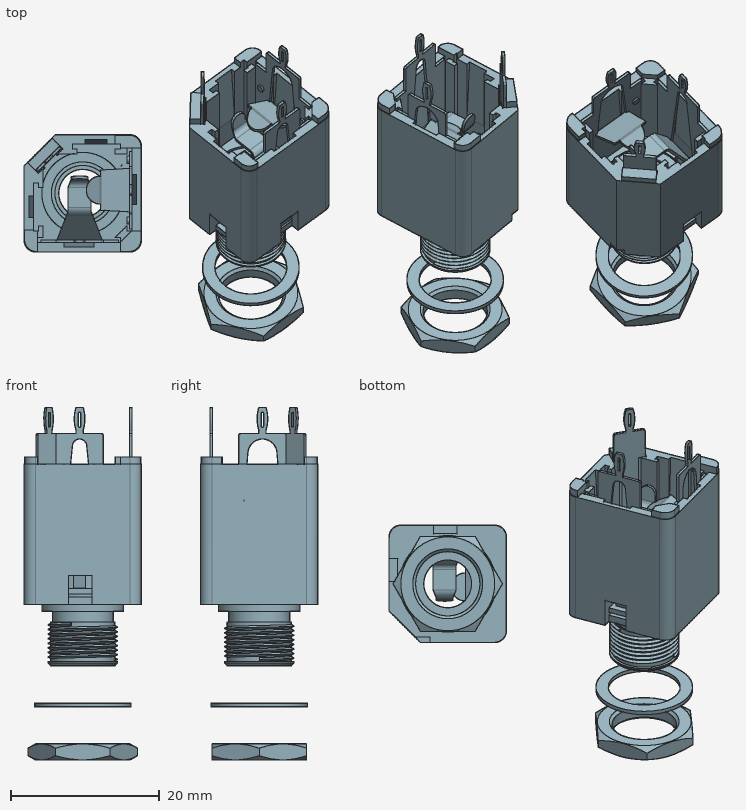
import cadquery as cq
import math

NUT_HEIGHT = 2.25
WASHER_BOTTOM = 7.15
WASHER_THICKNESS = 0.5
SLEEVE_BOTTOM = 12.7
NECK_BOTTOM = 18.6
COLLAR_BOTTOM = 20.05
HOUSING_BOTTOM = 20.95
SLEEVE_TOP = 25.95
FLOOR_TOP = 26.3
HOUSING_TOP = 39.85
POST_TOP = 40.85
PLATE_TOP = 44.0
PIN_TOP = 47.5

NUT_FLATS = 12.8
NUT_BEVEL_DIA = 12.65
NUT_BEVEL_ANGLE = 30
WASHER_OUTER_DIA = 13.0
WASHER_INNER_DIA = 9.7

BORE_DIA = 6.4
COUNTERBORE_DIA = 7.5
COUNTERBORE_DEPTH = 1.9
REBATE_DIA = 8.45
REBATE_DEPTH = 0.48
NECK_DIA = 8.2
COLLAR_DIA = 11.0
THREAD_ROOT_DIA = 8.65
THREAD_CREST_DIA = 9.4
THREAD_PITCH = 0.6
THREAD_BASE = 0.55
THREAD_SINK = 0.1
END_COLLAR = 0.6
END_CHAMFER = 0.45

HALF = 15.8 / 2
CORNER_RADIUS = 1.55
CORNER_CUT = 4.25
POST_INSET = 0.1
POST_INNER = 6.1
SW_POST_END = -4.95
NE_POST_START = 4.35
SE_POST_START = 5.1
SE_POST_CHAMFER = 1.45

SLOT_OUTER = 6.65
LIP_OUTER = 5.95
CAVITY_HALF = 5.3
LONG_SLOT = (-6.1, 5.1)
SHORT_SLOT = (-1.4, 5.1)
SHORT_SLOT_MOUTH = (-0.75, 4.35)
CAVITY_BEVEL = 1.55
CAVITY_CORNER_CUT = 2.15

CORNER_SLOT_OUTER = 6.7
CORNER_SLOT_DEPTH = 0.55
CORNER_SLOT_WIDTH = 4.65
CORNER_MOUTH_WIDTH = 2.35
CORNER_MOUTH_DEPTH = 1.42

LEAD_IN_DEPTH = 0.55
LEAD_IN_HEIGHT = 9.5
LONG_LEAD_IN = (-2.5, 1.5)
SHORT_LEAD_IN = (0.35, 3.3)

FRONT_NOTCH = (-1.9, 1.25)
FRONT_NOTCH_TOP = 24.85
SIDE_NOTCH = (-3.4, -0.3)
SIDE_NOTCH_TOP = 25.18
NOTCH_FLOOR = 6.75
NOTCH_LIP_TOP = 21.95
NOTCH_GROOVE_TOP = 22.35
NOTCH_BAR_TOP = 23.1
KEY_NOTCH_X = (-5.7, -2.38)
KEY_NOTCH_DEPTH = 0.75
KEY_NOTCH_HEIGHT = 1.0

SHEET = 0.4
PLATE_CENTER = -0.45
PLATE_WIDTH = 6.4
GUIDE_WIDTH = 10.45
PLATE_RADIUS = 0.3
CORNER_PLATE_WIDTH = 4.4
ARCH_TOP = 43.22
PIN_NECK = 1.0
PIN_BULGE = 1.45
PIN_BULGE_BOTTOM = 44.4
PIN_TIP_RADIUS = 0.2
PIN_EYE_WIDTH = 0.3
PIN_EYE = (44.85, 46.85)
FOOT_TAB_WIDTH = 1.6
FOOT_TAB_END = (0.85, 23.28)
DIMPLE_DIA = 1.0
DIMPLE_HEIGHT = 0.3
DIMPLE_Z = 35.85
DIMPLE_OFFSET = 4.1

DIAGONAL = cq.Vector(1, 1, 0)


def box(x_range, y_range, z_range):
    """Box between two limits on each axis."""
    size = [high - low for low, high in (x_range, y_range, z_range)]
    return cq.Workplane("XY").box(*size, centered=False).translate(
        (x_range[0], y_range[0], z_range[0])
    )


def across_diagonal(shape):
    return shape.mirror(DIAGONAL)


def with_mirror(shape):
    return shape.union(across_diagonal(shape))


def to_corner(shape):
    """Turn a shape made at the +Y wall to face the -X +Y corner."""
    return shape.rotate((0, 0, 0), (0, 0, 1), 45)


def cylinder(diameter, bottom, top):
    return cq.Workplane("XY").workplane(offset=bottom).circle(diameter / 2).extrude(top - bottom)


def make_nut():
    corner_radius = NUT_FLATS / 2 / math.cos(math.pi / 6)
    bevel_radius = NUT_BEVEL_DIA / 2
    drop = (corner_radius - bevel_radius) * math.tan(math.radians(NUT_BEVEL_ANGLE))
    blank = cq.Workplane("XY").polygon(6, 2 * corner_radius).extrude(NUT_HEIGHT)
    envelope = (
        cq.Workplane("XZ")
        .polyline([
            (0, 0),
            (bevel_radius, 0),
            (corner_radius, drop),
            (corner_radius, NUT_HEIGHT - drop),
            (bevel_radius, NUT_HEIGHT),
            (0, NUT_HEIGHT),
        ])
        .close()
        .revolve(360, (0, 0), (0, 1))
    )
    nut = blank.intersect(envelope).faces(">Z").workplane().hole(THREAD_ROOT_DIA)
    mouth_chamfer = (THREAD_CREST_DIA - THREAD_ROOT_DIA) / 2
    return nut.edges(cq.selectors.RadiusNthSelector(0)).chamfer(mouth_chamfer)


def make_washer():
    outer = cylinder(WASHER_OUTER_DIA, WASHER_BOTTOM, WASHER_BOTTOM + WASHER_THICKNESS)
    return outer.faces(">Z").workplane().hole(WASHER_INNER_DIA)


def thread_ridge():
    """Helical V ridge, rooted inside the core, from the end collar to the neck."""
    foot = THREAD_ROOT_DIA / 2 - THREAD_SINK
    start = SLEEVE_BOTTOM + END_COLLAR + THREAD_BASE / 2
    length = NECK_BOTTOM - THREAD_BASE / 2 - start
    path = cq.Wire.makeHelix(THREAD_PITCH, length, foot, center=cq.Vector(0, 0, start))
    return (
        cq.Workplane("XZ")
        .polyline([
            (foot, start - THREAD_BASE / 2),
            (THREAD_CREST_DIA / 2, start),
            (foot, start + THREAD_BASE / 2),
        ])
        .close()
        .sweep(cq.Workplane(path), isFrenet=True)
    )


def make_sleeve():
    core = cylinder(THREAD_ROOT_DIA, SLEEVE_BOTTOM, NECK_BOTTOM)
    end_collar = cylinder(THREAD_CREST_DIA, SLEEVE_BOTTOM, SLEEVE_BOTTOM + END_COLLAR)
    end_collar = end_collar.faces("<Z").chamfer(END_CHAMFER)
    neck = cylinder(NECK_DIA, NECK_BOTTOM, COLLAR_BOTTOM)
    collar = cylinder(COLLAR_DIA, COLLAR_BOTTOM, SLEEVE_TOP)
    blank = core.union(thread_ridge()).union(end_collar).union(neck).union(collar)
    return (
        blank.cut(cylinder(BORE_DIA, SLEEVE_BOTTOM, SLEEVE_TOP))
        .cut(cylinder(COUNTERBORE_DIA, SLEEVE_TOP - COUNTERBORE_DEPTH, SLEEVE_TOP))
        .cut(cylinder(REBATE_DIA, SLEEVE_TOP - REBATE_DEPTH, SLEEVE_TOP))
    )


def body_block(inset, bottom, top):
    """Square block with one large corner cut and three rounded corners."""
    half = HALF - inset
    block = box((-half, half), (-half, half), (bottom, top))
    block = block.edges("|Z").edges("<X and >Y").chamfer(CORNER_CUT - inset)
    rounded = block.edges("|Z").edges("(<X and <Y) or (>X and <Y) or (>X and >Y)")
    return rounded.fillet(CORNER_RADIUS - inset)


def raised_posts():
    """Posts on the three rounded corners and a bar along the corner cut."""
    height = (HOUSING_TOP, POST_TOP)
    southwest = box((-HALF, -POST_INNER), (-HALF, SW_POST_END), height)
    northeast = box((NE_POST_START, HALF), (POST_INNER, HALF), height)
    southeast = box((SE_POST_START, HALF), (-HALF, -SE_POST_START), height)
    southeast = southeast.edges("|Z and <X and >Y").chamfer(SE_POST_CHAMFER)
    half_bar = CORNER_SLOT_WIDTH / 2
    bar = to_corner(box((-half_bar, half_bar), (CORNER_SLOT_OUTER, HALF * 2), height))
    footprints = southwest.union(northeast).union(southeast).union(bar)
    return body_block(POST_INSET, HOUSING_TOP, POST_TOP).intersect(footprints)


def cavity():
    """Room for the contacts, with a slot along each wall and the corner cut."""
    height = (FLOOR_TOP, POST_TOP)
    room = box((-CAVITY_HALF, LIP_OUTER), (-LIP_OUTER, CAVITY_HALF), height)
    room = room.edges("|Z and >X and <Y").chamfer(CAVITY_BEVEL)
    room = room.edges("|Z and <X and >Y").chamfer(CAVITY_CORNER_CUT)
    slots = (
        box(LONG_SLOT, (-SLOT_OUTER, -LIP_OUTER), height)
        .union(box(SHORT_SLOT, (LIP_OUTER, SLOT_OUTER), height))
        .union(box(SHORT_SLOT_MOUTH, (CAVITY_HALF, LIP_OUTER), height))
    )
    half_slot = CORNER_SLOT_WIDTH / 2
    half_mouth = CORNER_MOUTH_WIDTH / 2
    slot_inner = CORNER_SLOT_OUTER - CORNER_SLOT_DEPTH
    corner_slot = box((-half_slot, half_slot), (slot_inner, CORNER_SLOT_OUTER), height).union(
        box((-half_mouth, half_mouth), (slot_inner - CORNER_MOUTH_DEPTH, slot_inner), height)
    )
    return room.union(with_mirror(slots)).union(to_corner(corner_slot))


def lead_in(x_range, side):
    """Ramp that widens the top of the slot in the +Y wall (side 1) or the -Y wall (side -1)."""
    return (
        cq.Workplane("YZ")
        .polyline([
            (side * SLOT_OUTER, HOUSING_TOP - LEAD_IN_HEIGHT),
            (side * SLOT_OUTER, HOUSING_TOP),
            (side * (SLOT_OUTER + LEAD_IN_DEPTH), HOUSING_TOP),
        ])
        .close()
        .extrude(x_range[1] - x_range[0])
        .translate((x_range[0], 0, 0))
    )


def foot_notches():
    front = box(FRONT_NOTCH, (-HALF, -NOTCH_FLOOR), (HOUSING_BOTTOM, FRONT_NOTCH_TOP))
    for bottom, top in ((NOTCH_LIP_TOP, NOTCH_GROOVE_TOP), (NOTCH_BAR_TOP, FRONT_NOTCH_TOP)):
        front = front.union(box(FRONT_NOTCH, (-NOTCH_FLOOR, 0), (bottom, top)))
    side = box((-HALF, -NOTCH_FLOOR), SIDE_NOTCH, (HOUSING_BOTTOM, SIDE_NOTCH_TOP)).union(
        box((-NOTCH_FLOOR, 0), SIDE_NOTCH, (NOTCH_LIP_TOP, SIDE_NOTCH_TOP))
    )
    key = box(
        KEY_NOTCH_X,
        (HALF - KEY_NOTCH_DEPTH, HALF),
        (HOUSING_BOTTOM, HOUSING_BOTTOM + KEY_NOTCH_HEIGHT),
    )
    return front.union(side).union(key)


def foot_tab_passage():
    """Opening in the floor for the foot tab of the -Y contact."""
    x_range = (PLATE_CENTER - FOOT_TAB_WIDTH / 2, PLATE_CENTER + FOOT_TAB_WIDTH / 2)
    y_range = (-SLOT_OUTER, -SLOT_OUTER + FOOT_TAB_END[0] + SHEET / 2)
    return box(x_range, y_range, (FRONT_NOTCH_TOP, FLOOR_TOP))


def make_housing():
    lead_ins = lead_in(LONG_LEAD_IN, -1).union(lead_in(SHORT_LEAD_IN, 1))
    return (
        body_block(0, HOUSING_BOTTOM, HOUSING_TOP)
        .union(raised_posts())
        .cut(cavity())
        .cut(cylinder(COLLAR_DIA, HOUSING_BOTTOM, FLOOR_TOP))
        .cut(with_mirror(lead_ins))
        .cut(foot_notches())
        .cut(foot_tab_passage())
    )


def sheet_rectangle(width, bottom, top):
    return box((-width / 2, width / 2), (0, SHEET), (bottom, top))


def solder_pin():
    """Narrow pin with a bulged, pierced eye."""
    neck = PIN_NECK / 2
    bulge = PIN_BULGE / 2
    bulge_middle = (PIN_BULGE_BOTTOM + PIN_TOP) / 2
    pin = (
        cq.Workplane("XZ")
        .moveTo(-neck, PLATE_TOP)
        .lineTo(neck, PLATE_TOP)
        .lineTo(neck, PIN_BULGE_BOTTOM)
        .threePointArc((bulge, bulge_middle), (neck, PIN_TOP))
        .lineTo(-neck, PIN_TOP)
        .threePointArc((-bulge, bulge_middle), (-neck, PIN_BULGE_BOTTOM))
        .close()
        .extrude(-SHEET)
    )
    eye = (
        cq.Workplane("XZ")
        .center(0, sum(PIN_EYE) / 2)
        .slot2D(PIN_EYE[1] - PIN_EYE[0], PIN_EYE_WIDTH, 90)
        .extrude(-SHEET)
    )
    return pin.edges("|Y and >Z").fillet(PIN_TIP_RADIUS).cut(eye)


def contact_plate(width):
    plate = sheet_rectangle(width, FLOOR_TOP, PLATE_TOP)
    return plate.edges("|Y and >Z").fillet(PLATE_RADIUS).union(solder_pin())


def arch(radius, hinge_z, foot_half):
    """Tapered opening with a round top, left where the tongue is bent out of the plate."""
    spring_line = ARCH_TOP - radius
    return (
        cq.Workplane("XZ")
        .moveTo(-foot_half, hinge_z)
        .lineTo(foot_half, hinge_z)
        .lineTo(radius, spring_line)
        .threePointArc((0, ARCH_TOP), (-radius, spring_line))
        .close()
        .extrude(-SHEET)
    )


def bent_tongue(profile, outline):
    """Sheet strip bent along a (Y, Z) centreline and trimmed to a plan outline."""
    strip = profile.offset2D(SHEET / 2).extrude(GUIDE_WIDTH / 2, both=True)
    return strip.intersect(outline.extrude(PIN_TOP))


def spring_contact(opening, tongue):
    plate = contact_plate(PLATE_WIDTH).union(sheet_rectangle(GUIDE_WIDTH, FLOOR_TOP, HOUSING_TOP))
    contact = plate.cut(opening).union(tongue)
    return contact.translate((PLATE_CENTER, -SLOT_OUTER, 0))


def foot_tab():
    """Tab that starts inside the plate and leans inward below it."""
    middle = SHEET / 2
    profile = cq.Workplane("YZ").polyline([
        (middle, FLOOR_TOP + 2 * SHEET),
        (middle, FLOOR_TOP + SHEET),
        FOOT_TAB_END,
    ])
    outline = cq.Workplane("XY").rect(FOOT_TAB_WIDTH, HALF)
    return bent_tongue(profile, outline)


def make_ring_contact():
    """Contact in the -Y wall, with a long tongue that crosses the bore and turns up at its end."""
    hinge_y = SHEET / 2
    hinge_z = 27.55
    hinge_half = 3.2
    strip_half = 1.55
    arch_radius = 0.95
    arch_foot_half = 2.4
    bend_y = 4.2
    bend_length = 0.55
    bridge_z = 34.9
    curl_start_y = 7.45
    curl_end = (8.5, 35.8)
    curl_half = 1.15
    curl_top = 37.9
    end_y = 9.5

    rise = math.atan2(bridge_z - hinge_z, bend_y - hinge_y)
    curl_chord = math.atan2(curl_end[1] - bridge_z, curl_end[0] - curl_start_y)
    lean = (curl_top - curl_end[1]) / math.tan(2 * curl_chord)
    profile = (
        cq.Workplane("YZ")
        .moveTo(hinge_y, hinge_z)
        .lineTo(bend_y - bend_length * math.cos(rise), bridge_z - bend_length * math.sin(rise))
        .tangentArcPoint((bend_y + bend_length, bridge_z), relative=False)
        .lineTo(curl_start_y, bridge_z)
        .tangentArcPoint(curl_end, relative=False)
        .lineTo(curl_end[0] + lean, curl_top)
    )
    outline = cq.Workplane("XY").polyline([
        (-hinge_half, 0),
        (hinge_half, 0),
        (strip_half, bend_y),
        (strip_half, curl_start_y),
        (curl_half, curl_end[0]),
        (curl_half, end_y),
        (-curl_half, end_y),
        (-curl_half, curl_end[0]),
        (-strip_half, curl_start_y),
        (-strip_half, bend_y),
    ]).close()
    round_end = (
        cq.Workplane("XZ")
        .moveTo(-hinge_half, 0)
        .lineTo(hinge_half, 0)
        .lineTo(hinge_half, curl_end[1])
        .lineTo(curl_half, curl_top - curl_half)
        .threePointArc((0, curl_top), (-curl_half, curl_top - curl_half))
        .lineTo(-hinge_half, curl_end[1])
        .close()
        .extrude(-end_y)
    )
    tongue = bent_tongue(profile, outline).intersect(round_end).union(foot_tab())
    return spring_contact(arch(arch_radius, hinge_z, arch_foot_half), tongue)


def make_tip_contact():
    """Contact in the +X wall, with a wide tongue that ends in a round tip."""
    hinge_z = 33.95
    hinge_half = 2.95
    shoulder_half = 2.7
    arch_radius = 1.95
    arch_foot_half = 2.55
    shoulder = (4.28, 36.58)
    tip_radius = 1.9
    tip = (shoulder[0] + tip_radius, 35.62)
    profile = cq.Workplane("YZ").polyline([(SHEET / 2, hinge_z), shoulder, tip])
    outline = (
        cq.Workplane("XY")
        .moveTo(-hinge_half, 0)
        .lineTo(hinge_half, 0)
        .lineTo(shoulder_half, shoulder[0])
        .lineTo(tip_radius, shoulder[0])
        .threePointArc((0, tip[0]), (-tip_radius, shoulder[0]))
        .lineTo(-shoulder_half, shoulder[0])
        .close()
    )
    contact = spring_contact(
        arch(arch_radius, hinge_z, arch_foot_half), bent_tongue(profile, outline)
    )
    dimples = (
        cq.Workplane("XZ", origin=(PLATE_CENTER, SHEET - SLOT_OUTER, DIMPLE_Z))
        .pushPoints([(-DIMPLE_OFFSET, 0), (DIMPLE_OFFSET, 0)])
        .circle(DIMPLE_DIA / 2)
        .extrude(-DIMPLE_HEIGHT)
    )
    return across_diagonal(contact.union(dimples))


def make_corner_contact():
    """Plain contact in the slot of the corner cut."""
    plate = contact_plate(CORNER_PLATE_WIDTH)
    return to_corner(plate.translate((0, CORNER_SLOT_OUTER - SHEET, 0)))


nut = make_nut()
washer = make_washer()
sleeve = make_sleeve()
housing = make_housing()
ring_contact = make_ring_contact()
tip_contact = make_tip_contact()
corner_contact = make_corner_contact()

result = cq.Compound.makeCompound([
    nut.val(),
    washer.val(),
    sleeve.val(),
    housing.val(),
    ring_contact.val(),
    tip_contact.val(),
    corner_contact.val(),
])